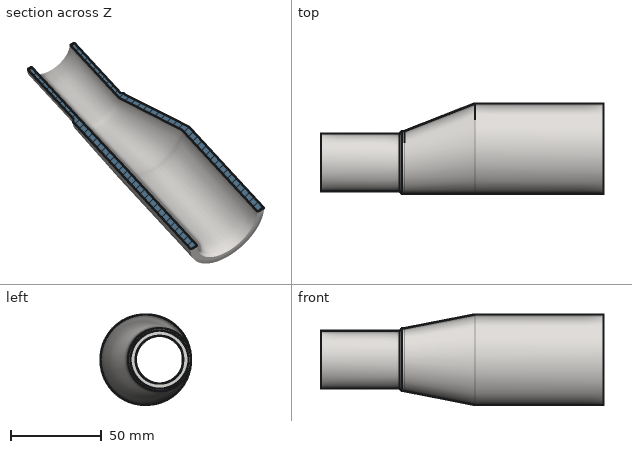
import cadquery as cq


total_length = 156.0
small_spigot_length = 43.5
collar_length = 2.7
cone_length = 38.8

large_diameter = 50.0
large_wall = 4.6
small_diameter = 32.0
small_wall = 2.9
collar_diameter = 34.8

collar_start = small_spigot_length
cone_start = collar_start + collar_length
cone_end = cone_start + cone_length

collar_chamfer = (collar_diameter - small_diameter) / 2

small_axis_y = -(large_diameter - collar_diameter) / 2

large_bore = large_diameter - 2 * large_wall
small_bore = small_diameter - 2 * small_wall


def cylinder(x_start, x_end, diameter, axis_y):
    """Round bar along X between two stations."""
    return (
        cq.Workplane("YZ", origin=(x_start, axis_y, 0))
        .circle(diameter / 2)
        .extrude(x_end - x_start)
    )


def eccentric_cone(small_end_diameter, large_end_diameter):
    """Oblique cone from the small axis to the large axis."""
    return (
        cq.Workplane("YZ", origin=(cone_start, small_axis_y, 0))
        .circle(small_end_diameter / 2)
        .workplane(offset=cone_length)
        .center(-small_axis_y, 0)
        .circle(large_end_diameter / 2)
        .loft(ruled=True)
    )


def outer_body():
    small_spigot = cylinder(0, cone_start, small_diameter, small_axis_y)
    collar = cylinder(collar_start, cone_start, collar_diameter, small_axis_y)
    collar = collar.faces("<X").chamfer(collar_chamfer)
    cone = eccentric_cone(collar_diameter, large_diameter)
    large_spigot = cylinder(cone_end, total_length, large_diameter, 0)
    return small_spigot.union(collar).union(cone).union(large_spigot)


def flow_passage():
    small_passage = cylinder(0, cone_start, small_bore, small_axis_y)
    cone_passage = eccentric_cone(small_bore, large_bore)
    large_passage = cylinder(cone_end, total_length, large_bore, 0)
    return small_passage.union(cone_passage).union(large_passage)


result = outer_body().cut(flow_passage())